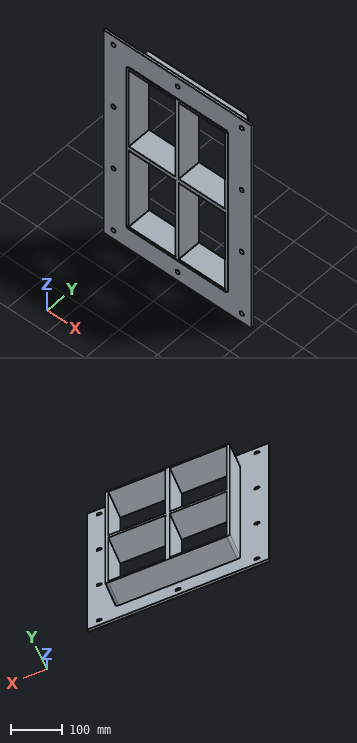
import cadquery as cq

plate_width = 383.0
plate_height = 580.0
plate_thickness = 6.0

frame_margin = 60.0
frame_width = plate_width - 2 * frame_margin
frame_height = plate_height - 2 * frame_margin
frame_depth = 60.0
frame_lip = 2.0
frame_wall = 7.0
frame_corner_radius = 7.0

vertical_bar = 10.0
horizontal_bar = 12.0

hole_diameter = 10.5
hole_inset = 25.0
hole_columns = 3
hole_rows = 4


def block(width, depth, height, front):
    """Box centred in X and Z whose front face is at Y = front."""
    return cq.Workplane("XY").box(width, depth, height).translate((0, front + depth / 2, 0))


def evenly_spaced(span, count):
    """Positions from -span/2 to span/2."""
    return [span * (i / (count - 1) - 0.5) for i in range(count)]


def mounting_holes():
    """Cutters at the perimeter positions of the hole grid."""
    columns = evenly_spaced(plate_width - 2 * hole_inset, hole_columns)
    rows = evenly_spaced(plate_height - 2 * hole_inset, hole_rows)
    points = [
        (x, z)
        for x in columns
        for z in rows
        if x in (columns[0], columns[-1]) or z in (rows[0], rows[-1])
    ]
    return (
        cq.Workplane("XZ")
        .pushPoints(points)
        .circle(hole_diameter / 2)
        .extrude(2 * frame_depth, both=True)
    )


def openings():
    """Four square-cornered through openings between the walls and bars."""
    width = (frame_width - 2 * frame_wall - vertical_bar) / 2
    height = (frame_height - 2 * frame_wall - horizontal_bar) / 2
    return (
        cq.Workplane("XZ")
        .rarray(width + vertical_bar, height + horizontal_bar, 2, 2)
        .rect(width, height)
        .extrude(2 * frame_depth, both=True)
    )


plate = block(plate_width, plate_thickness, plate_height, frame_lip)
frame = block(frame_width, frame_depth, frame_height, 0).edges("|Y").fillet(frame_corner_radius)

result = plate.union(frame).cut(openings()).cut(mounting_holes())